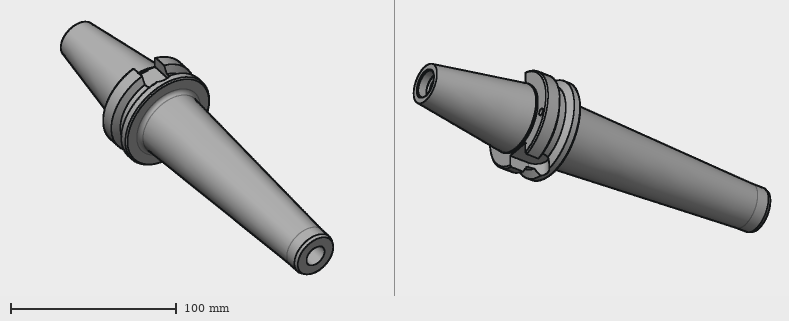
import cadquery as cq
import math

TOTAL_LENGTH = 242.5

TAPER_LENGTH = 66.0
GAUGE_RADIUS = 22.3
TAPER_RATIO = 7 / 24
SHANK_END_RADIUS = GAUGE_RADIUS - TAPER_LENGTH * TAPER_RATIO / 2

FLANGE_RADIUS = 31.5
FRONT_RADIUS = 31.3
FLANGE_START = 67.5
RELIEF_DEPTH = 0.5
FLANGE_END = 92.4
FLANGE_CHAMFER = 1.0
GROOVE_RADIUS = 26.7
GROOVE_FLOOR_START = 79.7
GROOVE_FLOOR_END = 84.4
GROOVE_FLANK = 3.0

NECK_FILLET = 2.7
NECK_RADIUS = 21.0
TIP_RADIUS = 14.3
TIP_LENGTH = 10.2
TIP_CHAMFER_LENGTH = 2.2
TIP_CHAMFER_DEPTH = 1.0

BORE_RADIUS = 6.8
COUNTERBORE_RADIUS = 8.5
COUNTERBORE_DEPTH = 6.3
MOUTH_RADIUS = 9.2
CONE_RADIUS = 8.0

SLOT_WIDTH = 16.5
SLOT_END = 88.7
SLOT_FLOOR = 22.3

FACE_HOLE_RADIUS = 2.2
FACE_HOLE_DEPTH = 7.3
FACE_HOLE_PITCH_RADIUS = 26.7
DRILL_POINT_ANGLE = 118.0
FACE_HOLE_TILT = 20.0


def make_body():
    neck_start = FLANGE_END + NECK_FILLET
    tip_start = TOTAL_LENGTH - TIP_LENGTH
    relief_radius = GAUGE_RADIUS - RELIEF_DEPTH
    rim_radius = FLANGE_RADIUS - FLANGE_CHAMFER
    fillet_offset = NECK_FILLET * (1 - math.sqrt(0.5))
    profile = (
        cq.Workplane("XY")
        .lineTo(0, SHANK_END_RADIUS)
        .lineTo(TAPER_LENGTH, GAUGE_RADIUS)
        .lineTo(TAPER_LENGTH, relief_radius)
        .lineTo(FLANGE_START, relief_radius)
        .lineTo(FLANGE_START, FRONT_RADIUS - FLANGE_CHAMFER)
        .lineTo(FLANGE_START + FLANGE_CHAMFER, FRONT_RADIUS)
        .lineTo(GROOVE_FLOOR_START - GROOVE_FLANK, FRONT_RADIUS)
        .lineTo(GROOVE_FLOOR_START, GROOVE_RADIUS)
        .lineTo(GROOVE_FLOOR_END, GROOVE_RADIUS)
        .lineTo(GROOVE_FLOOR_END + GROOVE_FLANK, FLANGE_RADIUS)
        .lineTo(FLANGE_END - FLANGE_CHAMFER, FLANGE_RADIUS)
        .lineTo(FLANGE_END, rim_radius)
        .lineTo(FLANGE_END, NECK_RADIUS + NECK_FILLET)
        .threePointArc(
            (FLANGE_END + fillet_offset, NECK_RADIUS + fillet_offset),
            (neck_start, NECK_RADIUS),
        )
        .lineTo(tip_start, TIP_RADIUS)
        .lineTo(TOTAL_LENGTH - TIP_CHAMFER_LENGTH, TIP_RADIUS)
        .lineTo(TOTAL_LENGTH, TIP_RADIUS - TIP_CHAMFER_DEPTH)
        .lineTo(TOTAL_LENGTH, 0)
        .close()
    )
    return profile.revolve(360, (0, 0, 0), (1, 0, 0))


def make_bore():
    """Through bore with a chamfered counterbore and a 45 degree cone below it."""
    cone_length = CONE_RADIUS - BORE_RADIUS
    profile = (
        cq.Workplane("XY")
        .lineTo(0, MOUTH_RADIUS)
        .lineTo(MOUTH_RADIUS - COUNTERBORE_RADIUS, COUNTERBORE_RADIUS)
        .lineTo(COUNTERBORE_DEPTH, COUNTERBORE_RADIUS)
        .lineTo(COUNTERBORE_DEPTH, CONE_RADIUS)
        .lineTo(COUNTERBORE_DEPTH + cone_length, BORE_RADIUS)
        .lineTo(TOTAL_LENGTH, BORE_RADIUS)
        .lineTo(TOTAL_LENGTH, 0)
        .close()
    )
    return profile.revolve(360, (0, 0, 0), (1, 0, 0))


def make_slot(side):
    """Round-ended slot, open at the shank side; side is +1 for +Z and -1 for -Z."""
    half_width = SLOT_WIDTH / 2
    round_start = SLOT_END - half_width
    return (
        cq.Workplane("XY", origin=(0, 0, side * SLOT_FLOOR))
        .moveTo(TAPER_LENGTH, -half_width)
        .lineTo(round_start, -half_width)
        .threePointArc((SLOT_END, 0), (round_start, half_width))
        .lineTo(TAPER_LENGTH, half_width)
        .close()
        .extrude(side * FLANGE_RADIUS)
    )


def make_face_hole(side):
    """Blind hole in the flange face; the two sides lie half a turn apart."""
    tilt = math.radians(FACE_HOLE_TILT)
    y = side * FACE_HOLE_PITCH_RADIUS * math.cos(tilt)
    z = side * FACE_HOLE_PITCH_RADIUS * math.sin(tilt)
    tip_length = FACE_HOLE_RADIUS / math.tan(math.radians(DRILL_POINT_ANGLE / 2))
    profile = (
        cq.Workplane("XY", origin=(FLANGE_START, y, z))
        .lineTo(0, FACE_HOLE_RADIUS)
        .lineTo(FACE_HOLE_DEPTH, FACE_HOLE_RADIUS)
        .lineTo(FACE_HOLE_DEPTH + tip_length, 0)
        .close()
    )
    return profile.revolve(360, (0, 0, 0), (1, 0, 0))


result = make_body().cut(make_bore())
for side in (1, -1):
    result = result.cut(make_slot(side)).cut(make_face_hole(side))